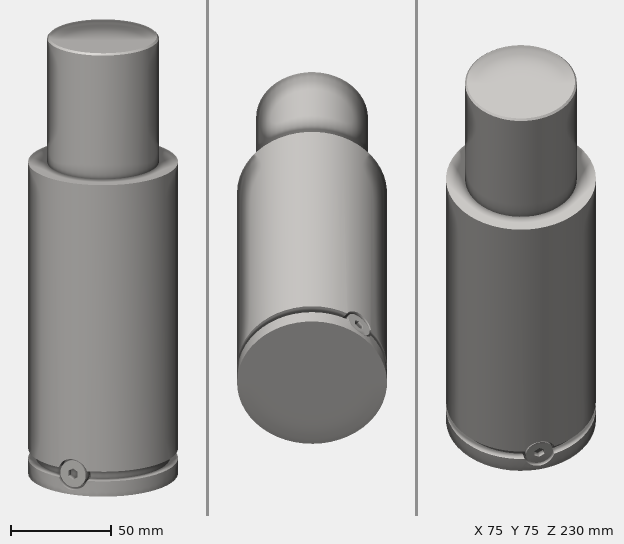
import cadquery as cq
import math

total_height = 230.0
body_diameter = 75.0
body_height = 164.0
rod_diameter = 56.0
rod_chamfer = 1.0

groove_bottom = 8.0
groove_top = 13.0
groove_diameter = 67.0

plug_height = 10.5
bore_diameter = 16.0
bore_floor_radius = 31.3
plug_diameter = 13.8
plug_face_radius = 36.5
hex_across_flats = 5.0
hex_depth = 3.0

body_radius = body_diameter / 2


def plug_plane(radius):
    """Plane facing -Y at the given distance from the main axis."""
    return cq.Workplane("XZ", origin=(0, -radius, plug_height))


def make_cylinder():
    """Body with its ring groove, and the chamfered rod on top."""
    body = cq.Workplane("XY").circle(body_radius).extrude(body_height)
    groove = (
        cq.Workplane("XY", origin=(0, 0, groove_bottom))
        .circle(body_radius)
        .circle(groove_diameter / 2)
        .extrude(groove_top - groove_bottom)
    )
    rod = (
        cq.Workplane("XY", origin=(0, 0, body_height))
        .circle(rod_diameter / 2)
        .extrude(total_height - body_height)
        .faces(">Z")
        .chamfer(rod_chamfer)
    )
    return body.cut(groove).union(rod)


def make_plug():
    """Round plug with a hexagon socket, one corner pointing up."""
    plug = plug_plane(bore_floor_radius).circle(plug_diameter / 2).extrude(plug_face_radius - bore_floor_radius)
    hex_across_corners = hex_across_flats / math.cos(math.pi / 6)
    socket = (
        plug_plane(plug_face_radius)
        .transformed(rotate=(0, 0, 90))
        .polygon(6, hex_across_corners)
        .extrude(-hex_depth)
    )
    return plug.cut(socket)


bore = plug_plane(bore_floor_radius).circle(bore_diameter / 2).extrude(body_diameter - bore_floor_radius)
result = make_cylinder().cut(bore).union(make_plug())